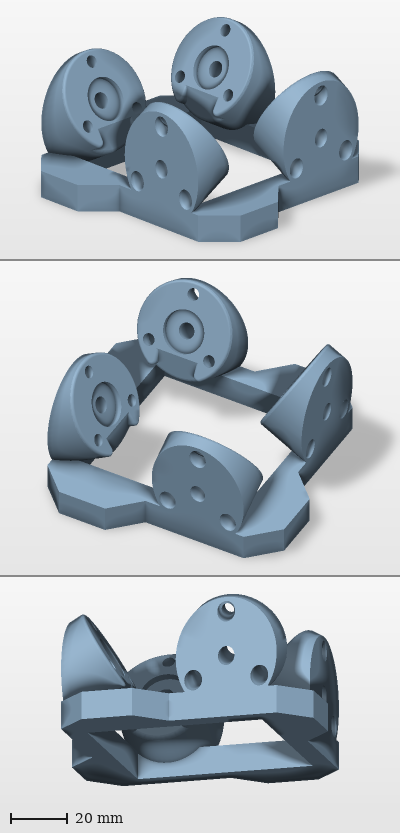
import cadquery as cq
import math

overall_size = 100.0
frame_size = 79.0
opening_size = 64.0
plate_thickness = 10.0

side_count = 4
pad_diameter = 37.0
pad_tilt = 30.0
face_center_height = 30.0
face_center_inset = 13.5
face_fillet = 1.0

recess_diameter = 16.0
recess_depth = 2.5
center_hole_diameter = 6.0
screw_count = 3
screw_circle_radius = 14.0
screw_hole_diameter = 4.5
screw_head_diameter = 6.5
screw_seat_thickness = 5.0

notch_width = 15.0
notch_offset = 9.0
notch_fillet = 2.0

half_overall = overall_size / 2
half_frame = frame_size / 2
ear_depth = half_overall - half_frame
pad_radius = pad_diameter / 2
pad_x = half_frame - pad_radius
through_length = 2 * pad_diameter

tilt = math.radians(pad_tilt)
face_plane = cq.Plane(
    origin=(pad_x, -half_frame + face_center_inset, face_center_height),
    xDir=(-1, 0, 0),
    normal=(0, math.cos(tilt), math.sin(tilt)),
)


def spin(shape, side):
    """Turn a shape from the front side of the frame to the given side."""
    return shape.rotate((0, 0, 0), (0, 0, 1), side * 360 / side_count)


def make_ear():
    """Ear on the front side, beside the half that carries the pad."""
    outline = [
        (-half_frame, -half_frame),
        (-half_frame + ear_depth, -half_overall),
        (-ear_depth, -half_overall),
        (0, -half_frame),
        (0, -opening_size / 2),
        (-half_frame, -opening_size / 2),
    ]
    return cq.Workplane("XY").polyline(outline).close().extrude(plate_thickness)


def make_frame():
    frame = (
        cq.Workplane("XY")
        .rect(frame_size, frame_size)
        .rect(opening_size, opening_size)
        .extrude(plate_thickness)
    )
    ear = make_ear()
    for side in range(side_count):
        frame = frame.union(spin(ear, side))
    return frame


def make_notched_cylinder():
    """Tilted cylinder with a vertical back face and a vertical notch at the front."""
    cylinder = cq.Workplane(face_plane).circle(pad_radius).extrude(-through_length)
    behind_back = (
        cq.Workplane("XZ", origin=(pad_x, -half_frame, 0))
        .rect(2 * through_length, 2 * through_length)
        .extrude(through_length)
    )
    notch_wall_y = face_plane.toWorldCoords((0, -notch_offset, 0)).y
    notch = (
        cq.Workplane("XZ", origin=(pad_x, notch_wall_y, 0))
        .rect(notch_width, 2 * through_length)
        .extrude(-through_length)
    )
    return cylinder.cut(behind_back).cut(notch)


def round_edges(blank):
    """Round the edges where the notch runs out, then the rim of the pad face."""
    along_axis = cq.selectors.ParallelDirSelector(face_plane.zDir)
    near_notch = cq.selectors.BoxSelector(
        (pad_x - notch_width, -half_frame, 0),
        (pad_x + notch_width, 0, half_overall),
    )
    tips = blank.edges(along_axis).edges(near_notch)
    notch_wall_arc = blank.edges("%ELLIPSE").edges(">Y")
    blank = tips.add(notch_wall_arc).fillet(notch_fillet)

    pad_face = cq.selectors.DirectionMinMaxSelector(face_plane.zDir)
    return blank.faces(pad_face).edges("not |X").fillet(face_fillet)


def bore(diameter, start_depth, points):
    """Cylinders along the pad axis, running from a depth below the face out of the back."""
    return (
        cq.Workplane(face_plane)
        .workplane(offset=-start_depth)
        .pushPoints(points)
        .circle(diameter / 2)
        .extrude(-through_length)
    )


def make_pad():
    center = [(0, 0)]
    screw_angles = [2 * math.pi * i / screw_count for i in range(screw_count)]
    screw_points = [
        (screw_circle_radius * math.sin(angle), screw_circle_radius * math.cos(angle))
        for angle in screw_angles
    ]
    recess = cq.Workplane(face_plane).circle(recess_diameter / 2).extrude(-recess_depth)

    pad = round_edges(make_notched_cylinder())
    pad = pad.cut(recess)
    pad = pad.cut(bore(center_hole_diameter, 0, center))
    pad = pad.cut(bore(screw_hole_diameter, 0, screw_points))
    return pad.cut(bore(screw_head_diameter, screw_seat_thickness, screw_points))


pad = make_pad()
result = make_frame()
for side in range(side_count):
    result = result.union(spin(pad, side))